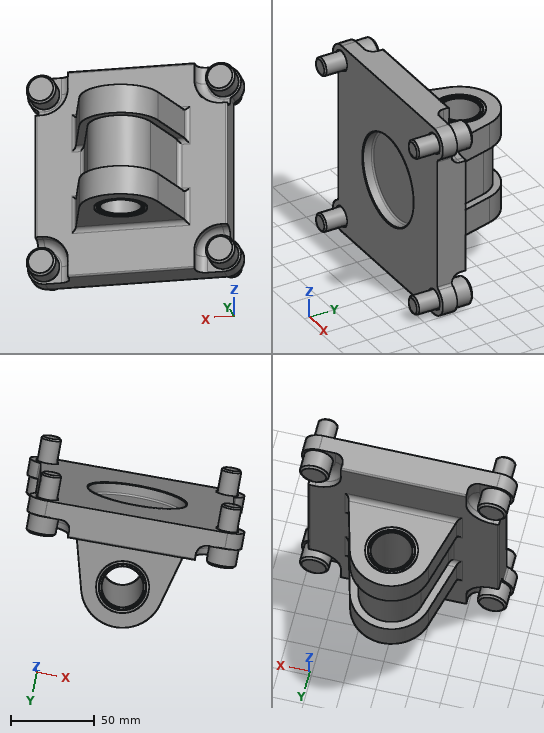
import cadquery as cq
import math


plate_height = 131.0
plate_width = 118.0
plate_thickness = 20.0
plate_edge_radius = 1.0

ear_radius = 10.5
ear_thickness = 10.0
ear_blend_radius = 2.0
screw_offset = plate_height / 2 - ear_radius

pocket_radius = 16.2
pocket_floor_radius = 6.0

recess_diameter = 60.0
recess_depth = 7.1
recess_mouth_chamfer = 0.5
recess_floor_fillet = 1.0

bore_height = 50.0
cheek_radius = 25.0
web_radius = 20.0
flank_angle = math.radians(15)
block_length = 70.0
web_length = 34.0
block_fillet = 3.0

bore_diameter = 25.0
groove_diameter = 28.0
counterbore_diameter = 32.0
counterbore_depth = 0.5
bore_chamfer = 0.4

shank_diameter = 12.0
shank_projection = 14.9
tip_chamfer = 1.0
head_diameter = 18.0
head_height = 12.2
head_chamfer = 1.3
clearance_diameter = 13.5

screw_positions = [(x, z) for x in (-screw_offset, screw_offset) for z in (-screw_offset, screw_offset)]


def rod_along_y(x, z, diameter, y_start, y_end):
    """Cylinder parallel to Y between two heights above the mounting face."""
    base = cq.Vector(x, y_start, z)
    return cq.Workplane(cq.Solid.makeCylinder(diameter / 2, y_end - y_start, base, cq.Vector(0, 1, 0)))


def box_from(x_range, y_range, z_range):
    """Box spanning the given ranges."""
    spans = [sorted(r) for r in (x_range, y_range, z_range)]
    sizes = [high - low for low, high in spans]
    corner = [low for low, high in spans]
    return cq.Workplane(cq.Solid.makeBox(*sizes, cq.Vector(*corner)))


def make_plate():
    """Plate outline with the four screw ears, at full thickness."""
    half_width = plate_width / 2
    half_height = plate_height / 2
    plate = box_from((-half_width, half_width), (0, plate_thickness), (-half_height, half_height))

    for x, z in screw_positions:
        x_side = math.copysign(1, x)
        z_side = math.copysign(1, z)
        corner = box_from((x, x_side * half_width), (0, plate_thickness), (z, z_side * half_height))
        plate = plate.cut(corner)
        plate = plate.union(rod_along_y(x, z, 2 * ear_radius, 0, plate_thickness))

    ear_reach = math.sqrt(ear_radius**2 - (half_width - screw_offset) ** 2)
    blend_z = screw_offset - ear_reach
    tolerance = 0.01
    blend_edges = cq.selectors.BoxSelector(
        (-half_width - tolerance, -tolerance, -blend_z - tolerance),
        (half_width + tolerance, plate_thickness + tolerance, blend_z + tolerance),
    )
    return plate.edges("|Y").edges(blend_edges).fillet(ear_blend_radius)


def make_pocket(x, z):
    """Pocket above one ear: rounded inner corner and a large floor radius, open outwards."""
    outer_reach = 2 * pocket_radius
    x_range = (x - math.copysign(pocket_radius, x), x + math.copysign(outer_reach, x))
    z_range = (z - math.copysign(pocket_radius, z), z + math.copysign(outer_reach, z))
    pocket = box_from(x_range, (ear_thickness, 2 * plate_thickness), z_range)
    inner_x = "<X" if x > 0 else ">X"
    inner_z = "<Z" if z > 0 else ">Z"
    pocket = pocket.edges("|Y").edges(inner_x).edges(inner_z).fillet(pocket_radius)
    return pocket.faces("<Y").edges().fillet(pocket_floor_radius)


def make_block_part(radius, length):
    """Extruded lug: round nose about the bore with straight flanks tangent to it."""
    tangent_x = radius * math.cos(flank_angle)
    tangent_y = bore_height + radius * math.sin(flank_angle)
    foot_y = plate_thickness / 2
    foot_x = tangent_x + (tangent_y - foot_y) * math.tan(flank_angle)
    return (
        cq.Workplane("XY")
        .moveTo(-foot_x, foot_y)
        .lineTo(-tangent_x, tangent_y)
        .threePointArc((0, bore_height + radius), (tangent_x, tangent_y))
        .lineTo(foot_x, foot_y)
        .close()
        .extrude(length / 2, both=True)
    )


def make_bore():
    """Cutter for the through bore: both ends get a counterbore, a V-groove and a mouth chamfer."""
    half_length = block_length / 2
    counterbore_floor = half_length - counterbore_depth
    chamfer_floor = counterbore_floor - bore_chamfer
    bore_radius = bore_diameter / 2
    groove_radius = groove_diameter / 2
    counterbore_radius = counterbore_diameter / 2
    upper_profile = [
        (0, 0),
        (bore_radius, 0),
        (bore_radius, chamfer_floor),
        (bore_radius + bore_chamfer, counterbore_floor),
        (groove_radius, counterbore_floor),
        (groove_radius, chamfer_floor),
        (groove_radius + bore_chamfer, counterbore_floor),
        (counterbore_radius, counterbore_floor),
        (counterbore_radius, half_length),
        (0, half_length),
    ]
    upper_half = cq.Workplane("XZ").polyline(upper_profile).close().revolve(360, (0, 0), (0, 1))
    bore = upper_half.union(upper_half.mirror("XY"))
    return bore.translate((0, bore_height, 0))


def make_recess():
    """Cutter for the round recess, with a rounded floor edge and a chamfered mouth."""
    recess = rod_along_y(0, 0, recess_diameter, 0, recess_depth)
    recess = recess.faces(">Y").edges().fillet(recess_floor_fillet)
    mouth = cq.Solid.makeCone(
        recess_diameter / 2 + recess_mouth_chamfer,
        recess_diameter / 2,
        recess_mouth_chamfer,
        cq.Vector(0, 0, 0),
        cq.Vector(0, 1, 0),
    )
    return recess.union(cq.Workplane(mouth))


def make_block():
    """Bearing block: two cheeks with the slimmer web between them."""
    cheeks = make_block_part(cheek_radius, block_length)
    gap = box_from((-plate_width, plate_width), (0, 2 * bore_height), (-web_length / 2, web_length / 2))
    return cheeks.cut(gap).union(make_block_part(web_radius, web_length))


def on_plate_side(edge):
    """True for an edge lying on one of the four straight sides of the plate."""
    center = edge.Center()
    on_width = math.isclose(abs(center.x), plate_width / 2)
    on_height = math.isclose(abs(center.z), plate_height / 2)
    return on_width or on_height


def make_housing():
    housing = make_plate()
    for x, z in screw_positions:
        housing = housing.cut(make_pocket(x, z))
        housing = housing.cut(rod_along_y(x, z, clearance_diameter, 0, ear_thickness))

    housing = housing.faces(">Y").edges("|X or |Z").filter(on_plate_side).fillet(plate_edge_radius)

    housing = housing.union(make_block())
    plane_faces = housing.faces("|Y").vals()
    rear_face = next(face for face in plane_faces if math.isclose(face.Center().y, plate_thickness))
    block_foot = rear_face.innerWires()[0]
    housing = housing.newObject(block_foot.Edges()).fillet(block_fillet)

    return housing.cut(make_bore()).cut(make_recess())


def make_screw(x, z):
    """Cylinder-head screw whose head rests on an ear and whose shank projects past the mounting face."""
    head_top = ear_thickness + head_height
    shank = rod_along_y(x, z, shank_diameter, -shank_projection, ear_thickness)
    shank = shank.faces("<Y").chamfer(tip_chamfer)
    head = rod_along_y(x, z, head_diameter, ear_thickness, head_top)
    head = head.faces(">Y").edges().chamfer(head_chamfer)
    return shank.union(head)


housing = make_housing()
screws = [make_screw(x, z) for x, z in screw_positions]
result = cq.Compound.makeCompound([housing.val(), *[screw.val() for screw in screws]])